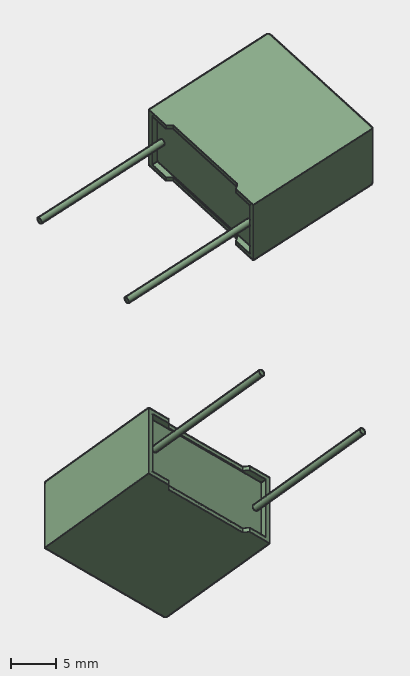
import cadquery as cq


CASE_WIDTH = 18.0
CASE_DEPTH = 17.5
CASE_HEIGHT = 9.51
WALL = 0.6
BACK_EDGE_RADIUS = 0.5

FOOT_WIDTH = 3.0
NOTCH_DEPTH = 0.6
NOTCH_SLOPE_WIDTH = 0.5

FILL_RECESS = 0.75

LEAD_DIAMETER = 0.8
LEAD_PITCH = 15.0
LEAD_REACH = 17.0

CAVITY_WIDTH = CASE_WIDTH - 2 * WALL
CAVITY_HEIGHT = CASE_HEIGHT - 2 * WALL
CAVITY_DEPTH = CASE_DEPTH - WALL


def block_along_y(width, height, front, back):
    """Block centred on the Y axis, reaching from Y = front to Y = back."""
    return cq.Workplane("XY").box(width, back - front, height).translate((0, (front + back) / 2, 0))


def make_rim_notch():
    """Cutter for the sloped-end notch, passing through both broad walls."""
    mouth_half = CASE_WIDTH / 2 - FOOT_WIDTH
    floor_half = mouth_half - NOTCH_SLOPE_WIDTH
    return (
        cq.Workplane("XY")
        .polyline([
            (-mouth_half, 0),
            (mouth_half, 0),
            (floor_half, NOTCH_DEPTH),
            (-floor_half, NOTCH_DEPTH),
        ])
        .close()
        .extrude(CASE_HEIGHT / 2, both=True)
    )


def make_case():
    """Box open at the front, rounded around its back face."""
    shell = block_along_y(CASE_WIDTH, CASE_HEIGHT, 0, CASE_DEPTH)
    shell = shell.faces(">Y").edges().fillet(BACK_EDGE_RADIUS)
    cavity = block_along_y(CAVITY_WIDTH, CAVITY_HEIGHT, 0, CAVITY_DEPTH)
    return shell.cut(cavity).cut(make_rim_notch())


def make_fill():
    """Potting that fills the cavity up to a face set back from the rim."""
    return block_along_y(CAVITY_WIDTH, CAVITY_HEIGHT, FILL_RECESS, CAVITY_DEPTH)


def make_lead(x):
    """Round wire running forward from the face of the fill."""
    return (
        cq.Workplane("XZ", origin=(x, FILL_RECESS, 0))
        .circle(LEAD_DIAMETER / 2)
        .extrude(FILL_RECESS + LEAD_REACH)
    )


case = make_case()
fill = make_fill()
leads = [make_lead(side * LEAD_PITCH / 2) for side in (-1, 1)]

result = cq.Compound.makeCompound([
    case.val(),
    fill.val(),
    *[lead.val() for lead in leads],
])